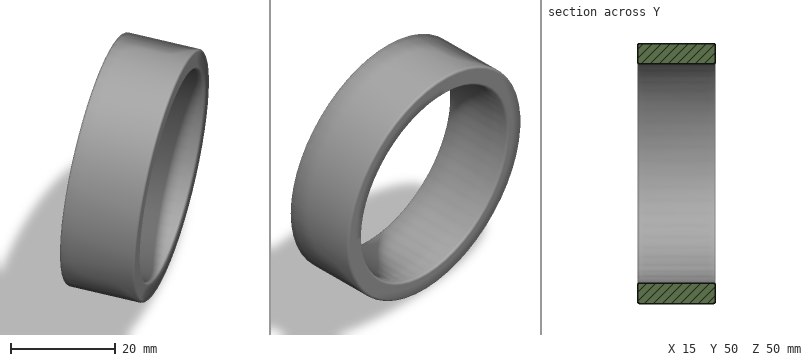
import cadquery as cq

outer_diameter = 50.0
bore_diameter = 42.0
width = 15.0
edge_radius = 0.5


def ring_blank():
    """Ring centred on the origin, with sharp edges."""
    end_plane = cq.Workplane("YZ", origin=(-width / 2, 0, 0))
    return end_plane.circle(outer_diameter / 2).circle(bore_diameter / 2).extrude(width)


def round_rims(ring):
    """Round the outer and bore edges of both end faces."""
    return ring.faces("<X or >X").edges().fillet(edge_radius)


result = round_rims(ring_blank())